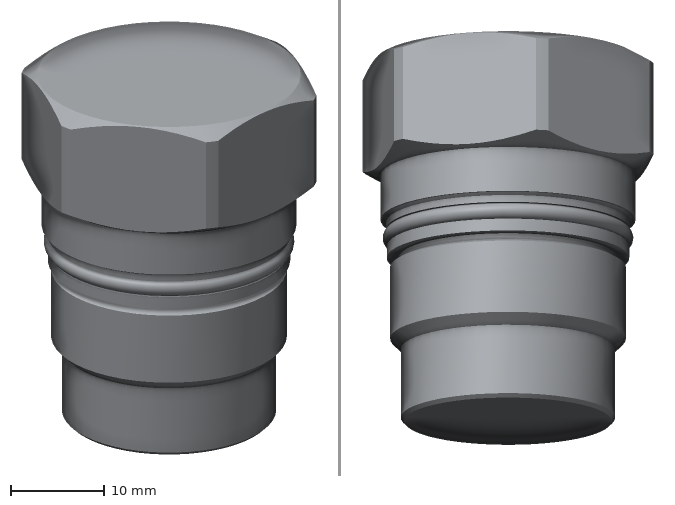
import cadquery as cq
import math

TOTAL_HEIGHT = 39.67

ACROSS_FLATS = 28.55
CORNER_RADIUS = 16.1
HEAD_BOTTOM = 27.0
HEAD_TOP_RADIUS = 14.12
HEAD_CHAMFER_ANGLE = 30.0

TIP_RADIUS = 11.5
TIP_CHAMFER = 0.4
TIP_TOP = 7.95
BARREL_RADIUS = 12.65
BARREL_TOP = 16.95
BARREL_CONE_ANGLE = 30.0
NECK_RADIUS = 11.75
NECK_FILLET = 0.3
LAND_BOTTOM = 17.97
LOWER_LAND_RADIUS = 13.0
UPPER_LAND_RADIUS = 13.1
COLLAR_RADIUS = 13.7
COLLAR_BOTTOM = 22.18
LAND_FLARE = 0.3
EDGE_SEARCH = 0.05

RING_SECTION_RADIUS = 0.9
RING_OUTER_RADIUS = 13.45
RING_Z = 20.2

ring_center_radius = RING_OUTER_RADIUS - RING_SECTION_RADIUS
groove_floor_radius = ring_center_radius - RING_SECTION_RADIUS
groove_bottom = RING_Z - RING_SECTION_RADIUS
groove_top = RING_Z + RING_SECTION_RADIUS


def revolve_profile(points):
    """Revolve a closed (radius, height) outline about the Z axis."""
    return cq.Workplane("XZ").polyline(points).close().revolve(360, (0, 0, 0), (0, 1, 0))


def make_head():
    """Hexagon trimmed by a cylinder with a cone at each end."""
    slope = math.tan(math.radians(HEAD_CHAMFER_ANGLE))
    top_chamfer = (CORNER_RADIUS - HEAD_TOP_RADIUS) * slope
    bottom_chamfer = (CORNER_RADIUS - COLLAR_RADIUS) * slope
    envelope = revolve_profile([
        (0, HEAD_BOTTOM),
        (COLLAR_RADIUS, HEAD_BOTTOM),
        (CORNER_RADIUS, HEAD_BOTTOM + bottom_chamfer),
        (CORNER_RADIUS, TOTAL_HEIGHT - top_chamfer),
        (HEAD_TOP_RADIUS, TOTAL_HEIGHT),
        (0, TOTAL_HEIGHT),
    ])
    hexagon = (
        cq.Workplane("XY", origin=(0, 0, HEAD_BOTTOM))
        .polygon(6, ACROSS_FLATS, circumscribed=True)
        .extrude(TOTAL_HEIGHT - HEAD_BOTTOM)
    )
    return hexagon.intersect(envelope)


def make_shank():
    """Stepped shank with a thread-relief neck and the ring groove."""
    step_chamfer = BARREL_RADIUS - TIP_RADIUS
    cone_slope = math.tan(math.radians(BARREL_CONE_ANGLE))
    neck_bottom = BARREL_TOP + (BARREL_RADIUS - NECK_RADIUS) * cone_slope
    shank = revolve_profile([
        (0, 0),
        (TIP_RADIUS - TIP_CHAMFER, 0),
        (TIP_RADIUS, TIP_CHAMFER),
        (TIP_RADIUS, TIP_TOP),
        (BARREL_RADIUS, TIP_TOP + step_chamfer),
        (BARREL_RADIUS, BARREL_TOP),
        (NECK_RADIUS, neck_bottom),
        (NECK_RADIUS, LAND_BOTTOM),
        (LOWER_LAND_RADIUS, LAND_BOTTOM),
        (LOWER_LAND_RADIUS, groove_bottom),
        (groove_floor_radius, groove_bottom),
        (groove_floor_radius, groove_top),
        (UPPER_LAND_RADIUS, groove_top),
        (UPPER_LAND_RADIUS, COLLAR_BOTTOM - LAND_FLARE),
        (UPPER_LAND_RADIUS + LAND_FLARE, COLLAR_BOTTOM),
        (COLLAR_RADIUS, COLLAR_BOTTOM),
        (COLLAR_RADIUS, HEAD_BOTTOM),
        (0, HEAD_BOTTOM),
    ])
    neck_edge = cq.selectors.BoxSelector(
        (-NECK_RADIUS, -NECK_RADIUS, neck_bottom - EDGE_SEARCH),
        (NECK_RADIUS, NECK_RADIUS, neck_bottom + EDGE_SEARCH),
    )
    return shank.edges("%CIRCLE").edges(neck_edge).fillet(NECK_FILLET)


def make_plug():
    """Screw plug: head and shank in one piece."""
    return make_shank().union(make_head())


def make_sealing_ring():
    """Round-section ring that touches the groove floor and both walls."""
    return (
        cq.Workplane("XZ")
        .center(ring_center_radius, RING_Z)
        .circle(RING_SECTION_RADIUS)
        .revolve(360, (-ring_center_radius, 0, 0), (-ring_center_radius, 1, 0))
    )


plug = make_plug()
sealing_ring = make_sealing_ring()
result = cq.Compound.makeCompound([plug.val(), sealing_ring.val()])